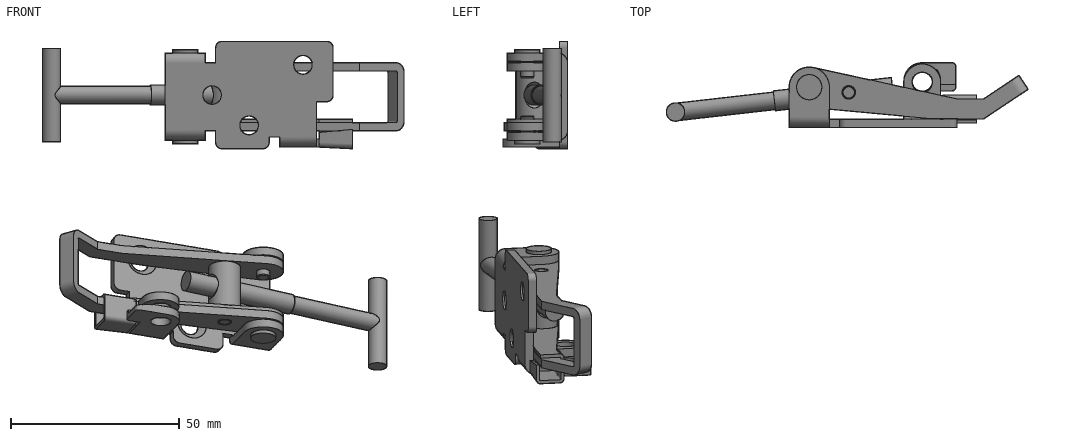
import cadquery as cq
import math

sheet = 2.5
bend_radius = 3.0
inner_bend = bend_radius - sheet
pivot_y = 12.0
pivot_radius = 6.0

ear_outer_z = 13.0
ear_inner_z = ear_outer_z - sheet
plate_center_z = 0.5
plate_height = 32.0
plate_top_z = plate_center_z + plate_height / 2
plate_bottom_z = plate_center_z - plate_height / 2
plate_left_x = 9.0
plate_right_x = 44.0
lower_flange_right_x = 25.0
upper_flange_bottom_z = -1.5
flange_corner_radius = 2.0
mount_hole_diameter = 5.5
mount_hole_land = 0.6
mount_hole_pitch_z = 9.0
mount_holes = [
    (8.0, plate_center_z),
    (19.0, plate_center_z - mount_hole_pitch_z),
    (35.0, plate_center_z + mount_hole_pitch_z),
]

eye_x = 33.6
eye_radius = 5.5
eye_hole_diameter = 6.0
base_eye_y = 13.8
lever_eye_y = 13.4
base_eye_outer_z = -15.0
base_eye_inner_z = base_eye_outer_z + sheet
eye_right_x = eye_x + eye_radius

tab_right_x = 43.6
tab_bottom_y = 10.85
tab_top_y = base_eye_y + eye_radius
tab_corner_radius = 1.2
ramp_left_x = 37.85
ramp_bottom_y = 12.8
ramp_drop = 1.0

lever_clearance = 0.35
arm_outer_z = ear_inner_z - lever_clearance
arm_inner_z = arm_outer_z - sheet
arm_bottom_y = sheet
arm_top_y = 8.5
arm_bottom_break_x = 34.9
arm_bottom_break_y = 2.75
arm_top_break_x = 44.0
handle_start_x = 51.8
handle_angle = math.radians(33.7)
handle_tip_x = 65.11

pivot_shank_diameter = 4.0
pivot_head_diameter = 7.5
pivot_head_height = 1.0
pivot_inner_z = 5.65
pin_chamfer = 0.3
barrel_x = 11.75
barrel_y = 10.45
barrel_radius = 4.75
journal_diameter = 4.0
rod_thread_diameter = 6.0
rod_neck_diameter = 5.3
countersink_radius = 3.85
crossbar_diameter = 5.5
crossbar_length = 27.8
crossbar_x = -39.75
crossbar_y = 4.6
neck_length = 29.6
rod_beyond_barrel = 13.1

pin_holes = [
    (0, pivot_y, pivot_shank_diameter),
    (barrel_x, barrel_y, journal_diameter),
]

catch_thickness = 1.0
catch_outer_z = -arm_inner_z
catch_inner_z = catch_outer_z + catch_thickness
hook_left_x = 39.8
hook_right_x = 49.8
hook_top_y = 9.7
hook_bottom_y = 1.3
hook_corner_radius = 1.3
hook_outer_z = (-15.0, plate_bottom_z)
hook_lip_z = (-10.6, -9.7)


def cylinder(x, y, bottom_z, top_z, diameter):
    """Cylinder along Z."""
    plane = cq.Workplane("XY", origin=(x, y, bottom_z))
    return plane.circle(diameter / 2).extrude(top_z - bottom_z)


def box(x, y, z):
    """Box from (low, high) pairs along each axis."""
    size = (x[1] - x[0], y[1] - y[0], z[1] - z[0])
    return cq.Workplane("XY").box(*size, centered=False).translate((x[0], y[0], z[0]))


def round_ended(x, bottom_y, center_y, radius, low_z, high_z):
    """Flat bar lying in XY that runs up from bottom_y to a full round about (x, center_y)."""
    bar = box((x - radius, x + radius), (bottom_y, center_y), (low_z, high_z))
    return bar.union(cylinder(x, center_y, low_z, high_z, 2 * radius))


def tangent_point(x, y, side):
    """Point where a line from (x, y) touches the pivot round; side is +1 above, -1 below."""
    offset_y = y - pivot_y
    angle = math.atan2(offset_y, x) + side * math.acos(pivot_radius / math.hypot(x, offset_y))
    return (pivot_radius * math.cos(angle), pivot_y + pivot_radius * math.sin(angle))


def bent_ear(x, center_y, radius, outer_z):
    """Ear turned up out of the base plate, with the bend that joins it to the plate."""
    inward = -math.copysign(1, outer_z)
    inner_z = outer_z + inward * sheet
    foot_z = outer_z + inward * bend_radius
    corner_offset = 1 - math.sqrt(0.5)
    outer_mid = (corner_offset * bend_radius, outer_z + inward * corner_offset * bend_radius)
    inner_mid = (
        sheet + corner_offset * inner_bend,
        inner_z + inward * corner_offset * inner_bend,
    )
    top_y = center_y + radius
    section = (
        cq.Workplane("YZ", origin=(x - radius, 0, 0))
        .moveTo(0, foot_z)
        .threePointArc(outer_mid, (bend_radius, outer_z))
        .lineTo(top_y, outer_z)
        .lineTo(top_y, inner_z)
        .lineTo(bend_radius, inner_z)
        .threePointArc(inner_mid, (sheet, foot_z))
        .close()
        .extrude(2 * radius)
    )
    outline = round_ended(x, 0, center_y, radius, min(outer_z, foot_z), max(outer_z, foot_z))
    return section.intersect(outline)


def mounting_holes():
    """Cutters for the mounting holes, countersunk at 90 degrees from inside the base."""
    radius = mount_hole_diameter / 2
    countersink_depth = sheet - mount_hole_land
    holes = cq.Workplane("XZ").pushPoints(mount_holes).circle(radius).extrude(-sheet)
    for x, z in mount_holes:
        start = cq.Vector(x, mount_hole_land, z)
        outward = cq.Vector(0, 1, 0)
        cone = cq.Solid.makeCone(radius, radius + countersink_depth, countersink_depth, start, outward)
        holes = holes.union(cq.Workplane(cone))
    return holes


def base_plate():
    neck_z = ear_outer_z - bend_radius
    eye_neck_z = base_eye_outer_z + bend_radius
    rounded_corners = [
        (plate_left_x, plate_bottom_z),
        (lower_flange_right_x, plate_bottom_z),
        (plate_right_x, upper_flange_bottom_z),
        (plate_right_x, plate_top_z),
        (plate_left_x, plate_top_z),
    ]
    outline = [
        (-pivot_radius, -neck_z),
        (plate_left_x, -neck_z),
        (plate_left_x, plate_bottom_z),
        (lower_flange_right_x, plate_bottom_z),
        (lower_flange_right_x, eye_neck_z),
        (eye_right_x, eye_neck_z),
        (eye_right_x, upper_flange_bottom_z),
        (plate_right_x, upper_flange_bottom_z),
        (plate_right_x, plate_top_z),
        (plate_left_x, plate_top_z),
        (plate_left_x, neck_z),
        (-pivot_radius, neck_z),
    ]
    plate = cq.Workplane("XZ").polyline(outline).close().extrude(-sheet)
    for x, z in rounded_corners:
        corner = cq.selectors.NearestToPointSelector((x, sheet / 2, z))
        plate = plate.edges(corner).fillet(flange_corner_radius)
    return plate.cut(mounting_holes())


def eye_tab():
    """Tab level with the top of the padlock eye; its inner face ramps down towards its free end."""
    tab = box((eye_x, tab_right_x), (tab_bottom_y, tab_top_y), (base_eye_outer_z, base_eye_inner_z))
    tab = tab.edges("|Z and >X").fillet(tab_corner_radius)
    ramp = (
        cq.Workplane("XZ", origin=(0, ramp_bottom_y, 0))
        .moveTo(ramp_left_x, base_eye_inner_z)
        .lineTo(tab_right_x, base_eye_inner_z)
        .lineTo(tab_right_x, base_eye_inner_z - ramp_drop)
        .close()
        .extrude(ramp_bottom_y - tab_top_y)
    )
    return tab.cut(ramp)


def make_base():
    base = base_plate()
    for outer_z in (ear_outer_z, -ear_outer_z):
        base = base.union(bent_ear(0, pivot_y, pivot_radius, outer_z))
    base = base.union(bent_ear(eye_x, base_eye_y, eye_radius, base_eye_outer_z)).union(eye_tab())
    pivot_hole = cylinder(0, pivot_y, -ear_outer_z, ear_outer_z, pivot_shank_diameter)
    eye_hole = cylinder(eye_x, base_eye_y, base_eye_outer_z, base_eye_inner_z, eye_hole_diameter)
    return base.cut(pivot_hole).cut(eye_hole)


def arm_outline(end_points, low_z):
    """Closed outline in XY: pivot round, straight edges, then end_points from bottom to top."""
    upper_tangent = tangent_point(arm_top_break_x, arm_top_y, 1)
    lower_tangent = tangent_point(arm_bottom_break_x, arm_bottom_break_y, -1)
    return (
        cq.Workplane("XY", origin=(0, 0, low_z))
        .moveTo(*upper_tangent)
        .threePointArc((-pivot_radius, pivot_y), lower_tangent)
        .lineTo(arm_bottom_break_x, arm_bottom_break_y)
        .polyline(end_points, includeCurrent=True)
        .lineTo(arm_top_break_x, arm_top_y)
        .close()
    )


def slab_with_rounded_end(tip_plane, setback, half_width, corner_radius):
    """Slab along the handle that ends a setback short of the tip, with its end corners rounded."""
    length = handle_tip_x + 2 * pivot_radius
    slab = (
        cq.Workplane(tip_plane)
        .center(-length / 2 - setback, 0)
        .rect(length, 2 * half_width)
        .extrude(length, both=True)
    )
    end_face = cq.selectors.DirectionMinMaxSelector(tip_plane.xDir, True)
    corners = cq.selectors.ParallelDirSelector(tip_plane.zDir)
    return slab.faces(end_face).edges(corners).fillet(corner_radius)


def make_lever():
    along = (math.cos(handle_angle), math.sin(handle_angle))
    rise = (handle_tip_x - handle_start_x) * math.tan(handle_angle)
    handle_width = (arm_top_y - arm_bottom_y) * along[0]
    tip_bottom = (handle_tip_x, arm_bottom_y + rise)
    tip_top = (tip_bottom[0] - handle_width * along[1], tip_bottom[1] + handle_width * along[0])
    handle = [(handle_start_x, arm_bottom_y), tip_bottom, tip_top, (handle_start_x, arm_top_y)]
    blank = arm_outline(handle, -arm_outer_z).extrude(2 * arm_outer_z)

    tip_plane = cq.Plane(
        origin=(tip_bottom[0], tip_bottom[1], 0),
        xDir=(along[0], along[1], 0),
        normal=(along[1], -along[0], 0),
    )
    outside = slab_with_rounded_end(tip_plane, 0, arm_outer_z, bend_radius)
    inside = slab_with_rounded_end(tip_plane, sheet, arm_inner_z, inner_bend)
    lever = blank.intersect(outside).cut(inside)

    eye = round_ended(eye_x, arm_top_y, lever_eye_y, eye_radius, -arm_outer_z, -arm_inner_z)
    lever = lever.union(eye)
    for x, y, diameter in pin_holes:
        lever = lever.cut(cylinder(x, y, -arm_outer_z, arm_outer_z, diameter))
    return lever.cut(cylinder(eye_x, lever_eye_y, -arm_outer_z, -arm_inner_z, eye_hole_diameter))


def tapered_block(y, high_z, low_z, edge_radius):
    """Block over the hook's length with a sloping low Z face; all but its lower inside edge rounded."""
    bottom_y, top_y = y
    height = top_y - bottom_y
    block = cq.Workplane("YZ", origin=(hook_left_x, 0, 0))
    left_depth, right_depth = (high_z - z for z in low_z)
    block = (
        block.center((bottom_y + top_y) / 2, high_z - left_depth / 2)
        .rect(height, left_depth)
        .workplane(offset=hook_right_x - hook_left_x)
        .center(0, (left_depth - right_depth) / 2)
        .rect(height, right_depth)
        .loft(ruled=True)
    )
    if edge_radius:
        block = block.faces("<Z").edges("not |Y").fillet(edge_radius)
        block = block.faces(">Z").edges(">Y").fillet(edge_radius)
    return block


def make_catch(lever):
    """Leaf against the lower lever arm, with a flared hook that wraps around the arm."""
    end = [(hook_right_x, arm_bottom_y), (hook_right_x, arm_top_y)]
    leaf = arm_outline(end, catch_outer_z).extrude(catch_thickness)
    hook = tapered_block((hook_bottom_y, hook_top_y), catch_inner_z, hook_outer_z, hook_corner_radius)
    cavity = tapered_block(
        (hook_bottom_y + catch_thickness, hook_top_y - catch_thickness),
        catch_outer_z,
        tuple(z + catch_thickness for z in hook_outer_z),
        hook_corner_radius - catch_thickness,
    )
    mouth = tapered_block((0, arm_bottom_y), catch_inner_z, hook_lip_z, 0)
    catch = leaf.union(hook.cut(cavity).cut(mouth)).cut(lever)
    for x, y, diameter in pin_holes:
        catch = catch.cut(cylinder(x, y, catch_outer_z, catch_inner_z, diameter))
    return catch


def make_pivot_rivet(side):
    """Rivet through one ear and the arm beside it; side is +1 for the upper ear, -1 for the lower."""
    shank = cylinder(0, pivot_y, pivot_inner_z, ear_outer_z, pivot_shank_diameter)
    shank = shank.faces("<Z").chamfer(pin_chamfer)
    head = cylinder(0, pivot_y, ear_outer_z, ear_outer_z + pivot_head_height, pivot_head_diameter)
    rivet = shank.union(head)
    return rivet if side > 0 else rivet.mirror("XY")


rod_angle = math.atan2(barrel_y - crossbar_y, barrel_x - crossbar_x)
rod_direction = (math.cos(rod_angle), math.sin(rod_angle), 0)
barrel_distance = math.hypot(barrel_x - crossbar_x, barrel_y - crossbar_y)
rod_length = barrel_distance + rod_beyond_barrel


def rod_plane(distance):
    """Workplane square to the rod, at a distance from the crossbar axis."""
    origin = (
        crossbar_x + distance * rod_direction[0],
        crossbar_y + distance * rod_direction[1],
        plate_center_z,
    )
    return cq.Workplane(cq.Plane(origin=origin, xDir=(0, 0, 1), normal=rod_direction))


def make_crossbar():
    half_length = crossbar_length / 2
    low_z = plate_center_z - half_length
    high_z = plate_center_z + half_length
    return cylinder(crossbar_x, crossbar_y, low_z, high_z, crossbar_diameter)


def make_rod(crossbar):
    """Threaded rod with a thinner neck that butts against the side of the crossbar."""
    neck = rod_plane(0).circle(rod_neck_diameter / 2).extrude(neck_length)
    thread = rod_plane(neck_length).circle(rod_thread_diameter / 2).extrude(rod_length - neck_length)
    return neck.union(thread).cut(crossbar)


def make_barrel():
    """Cross barrel on two journals, drilled for the rod and countersunk on both sides."""
    body = cylinder(barrel_x, barrel_y, catch_inner_z, arm_inner_z, 2 * barrel_radius)
    journals = cylinder(barrel_x, barrel_y, -arm_outer_z, arm_outer_z, journal_diameter)
    journals = journals.faces("<Z or >Z").chamfer(pin_chamfer)
    start = barrel_distance - barrel_radius
    hole = rod_plane(start).circle(rod_thread_diameter / 2).extrude(2 * barrel_radius)
    barrel = body.union(journals).cut(hole)
    center = rod_plane(barrel_distance).val()
    for sign in (1, -1):
        direction = cq.Vector(*rod_direction) * sign
        surface = center + direction * barrel_radius
        cone = cq.Solid.makeCone(countersink_radius, 0, countersink_radius, surface, direction * -1)
        barrel = barrel.cut(cq.Workplane(cone))
    return barrel


base = make_base()
lever = make_lever()
catch = make_catch(lever)
pivot_rivets = [make_pivot_rivet(side) for side in (1, -1)]
crossbar = make_crossbar()
rod = make_rod(crossbar)
barrel = make_barrel()

result = cq.Compound.makeCompound([
    base.val(),
    lever.val(),
    catch.val(),
    *[rivet.val() for rivet in pivot_rivets],
    crossbar.val(),
    rod.val(),
    barrel.val(),
])